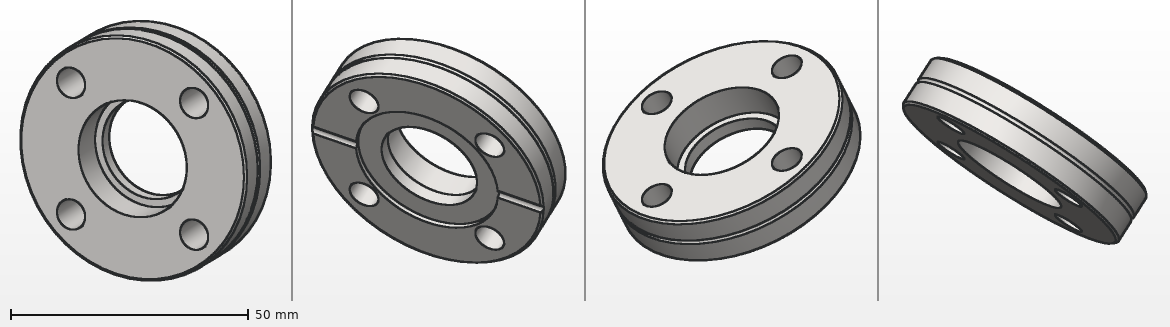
import cadquery as cq

outer_diameter = 53.9
thickness = 11.9
rim_chamfer = 0.5

bore_diameter = 22.2
socket_diameter = 25.7
socket_depth = 7.6
gasket_recess_diameter = 33.05
gasket_recess_depth = 1.2

bolt_hole_diameter = 6.7
bolt_hole_count = 4
bolt_circle_diameter = 41.35
first_bolt_angle = 45.0

rim_groove_width = 1.0
rim_groove_depth = 0.3

channel_width = 2.05
channel_depth = 0.6

front_y = -thickness / 2
back_y = thickness / 2


def arc_radius(width, depth):
    """Radius of an arc with the given chord width and depth."""
    return ((width / 2) ** 2 + depth ** 2) / (2 * depth)


def cylinder_along_y(diameter, start_y, length):
    """Cylinder on the flange axis, running toward +Y from start_y."""
    return cq.Workplane("XZ", origin=(0, start_y, 0)).circle(diameter / 2).extrude(-length)


def make_body():
    """Chamfered disc."""
    disc = cylinder_along_y(outer_diameter, front_y, thickness)
    return disc.faces("<Y or >Y").edges().chamfer(rim_chamfer)


def make_stepped_bore():
    """Through bore with a front socket and a back gasket recess."""
    bore = cylinder_along_y(bore_diameter, front_y, thickness)
    socket = cylinder_along_y(socket_diameter, front_y, socket_depth)
    recess = cylinder_along_y(gasket_recess_diameter, back_y - gasket_recess_depth, gasket_recess_depth)
    return bore.union(socket).union(recess)


def make_bolt_holes():
    """Plain through holes on the bolt circle."""
    return (
        cq.Workplane("XZ", origin=(0, front_y, 0))
        .polarArray(bolt_circle_diameter / 2, first_bolt_angle, 360, bolt_hole_count)
        .circle(bolt_hole_diameter / 2)
        .extrude(-thickness)
    )


def make_rim_groove():
    """Ring of circular section that cuts the rounded groove."""
    section_radius = arc_radius(rim_groove_width, rim_groove_depth)
    section_center = outer_diameter / 2 - rim_groove_depth + section_radius
    return (
        cq.Workplane("XY")
        .center(section_center, 0)
        .circle(section_radius)
        .revolve(360, (-section_center, 0), (-section_center, 1))
    )


def make_leak_channel():
    """Cylinder along X that cuts the channel from rim to rim."""
    channel_radius = arc_radius(channel_width, channel_depth)
    channel_axis_y = back_y - channel_depth + channel_radius
    return (
        cq.Workplane("YZ")
        .center(channel_axis_y, 0)
        .circle(channel_radius)
        .extrude(outer_diameter / 2, both=True)
    )


result = (
    make_body()
    .cut(make_stepped_bore())
    .cut(make_bolt_holes())
    .cut(make_rim_groove())
    .cut(make_leak_channel())
)